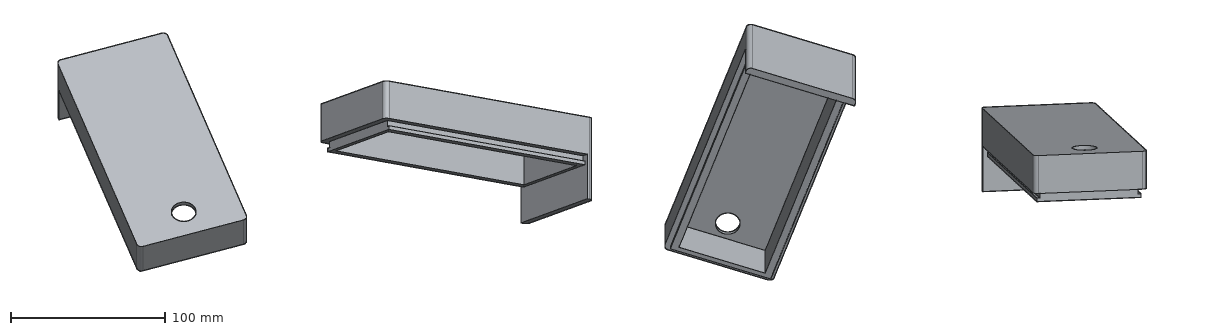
import cadquery as cq

length = 165.0
width = 75.0
height = 55.0
corner_radius = 3.1

cover_height = 25.0
top_thickness = 3.0
front_plate_thickness = 5.0
wall = front_plate_thickness + top_thickness

skirt_inset = front_plate_thickness
neck_height = 4.0
bead_height = 2.5
bead_projection = 2.0

hole_diameter = 16.0
hole_from_end = 19.0

cover_bottom = height - cover_height
neck_bottom = cover_bottom - neck_height
skirt_bottom = neck_bottom - bead_height
skirt_length = length - 2 * skirt_inset
skirt_width = width - 2 * skirt_inset


def centred_block(size_x, size_y, bottom, top):
    """Block centred in X and Y between two levels."""
    block = cq.Workplane("XY").box(size_x, size_y, top - bottom, centered=(True, True, False))
    return block.translate((0, 0, bottom))


def make_cover():
    """Cover and full-height front plate sharing the same rounded outline."""
    outline = centred_block(length, width, 0, height).edges("|Z").fillet(corner_radius)
    space_below = (
        cq.Workplane("XY")
        .box(length, width, cover_bottom, centered=(True, True, False))
        .translate((front_plate_thickness, 0, 0))
    )
    return outline.cut(space_below)


def make_skirt():
    """Recessed neck over a slightly wider bead."""
    neck = centred_block(skirt_length, skirt_width, neck_bottom, cover_bottom)
    bead_width = skirt_width + 2 * bead_projection
    bead = centred_block(skirt_length, bead_width, skirt_bottom, neck_bottom)
    return neck.union(bead)


def make_cavity():
    """Open space inside the walls, up to the underside of the top."""
    return centred_block(length - 2 * wall, width - 2 * wall, skirt_bottom, height - top_thickness)


def make_hole():
    """Round opening in the top."""
    hole = cq.Workplane("XY").circle(hole_diameter / 2).extrude(height)
    return hole.translate((length / 2 - hole_from_end, 0, 0))


result = make_cover().union(make_skirt()).cut(make_cavity()).cut(make_hole())